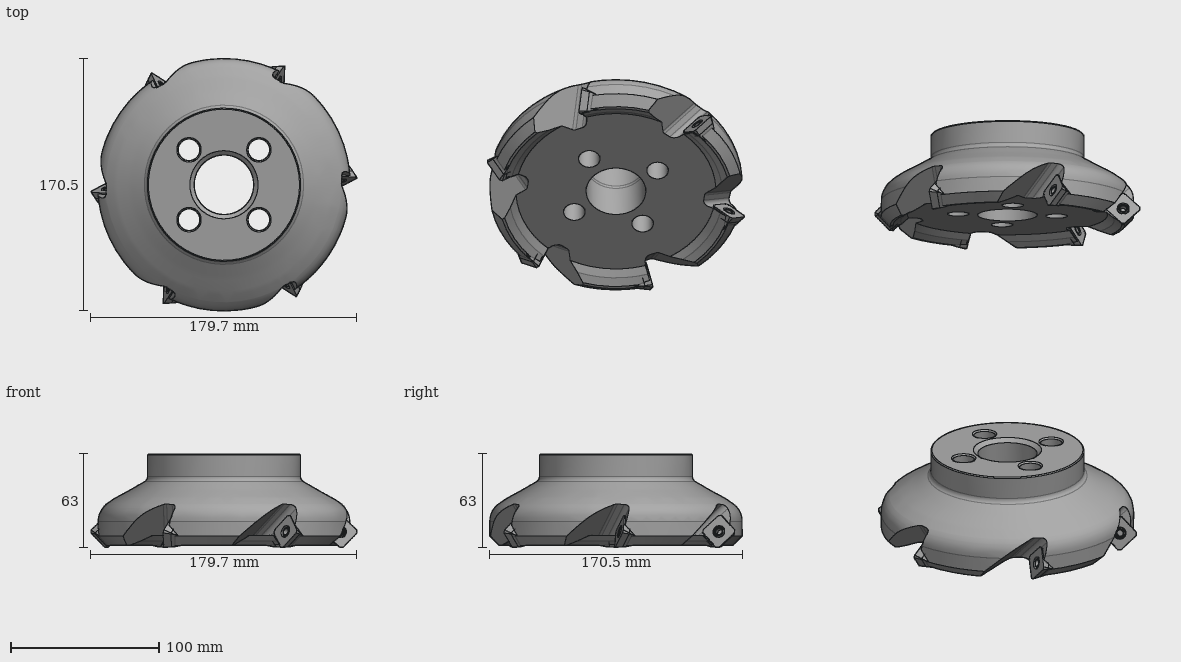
import cadquery as cq
import math

overall_height = 63.0
hub_radius = 103.5 / 2
hub_edge_chamfer = 0.75
hub_root_fillet = 4.0
rim_radius = 170.5 / 2
dome_radius = 15.0
dome_start_z = 17.55
cone_slope = 30.0
rim_bottom_z = 1.4
rim_chamfer = 6.2

recess_mouth_radius = 77.2
recess_step_radius = 72.1
recess_floor_radius = 67.5
recess_step_z = 4.35
recess_floor_z = 8.2

bore_diameter = 40.01
bore_relief_diameter = 40.3
bore_length = 24.5
bore_relief_taper = 2.4
bore_chamfer_width = 3.0
bore_chamfer_depth = 2.6
mount_hole_diameter = 14.5
mount_hole_chamfer = 1.0
mount_hole_count = 4
mount_circle_radius = 66.7 / 2

insert_count = 6
insert_width_over_flats = 22.6
wiper_length = 2.2
insert_thickness = 5.0
insert_clearance = 20.0
sink_diameter = 8.1
sink_depth = 2.0
head_base_diameter = 7.15
head_top_diameter = 5.7
head_top_depth = 0.4
socket_diameter = 4.5
socket_depth = 4.4
land_depth = 13.0

rake_azimuth = -78.3
rake_tilt = 16.6
rake_centre_x = 78.7
rake_centre_y = 2.4

gullet_wall_setback = 1.1
gullet_root_radius = 3.5
gullet_depth = 11.9
gullet_flat_length = 4.2
gullet_blend_radius = 4.1
gullet_floor_slope = 32.6
gullet_reach = 60.0
gullet_half_length = 50.0

azimuth = math.radians(rake_azimuth)
tilt = math.radians(rake_tilt)
rake_normal = cq.Vector(
    math.cos(tilt) * math.cos(azimuth), math.cos(tilt) * math.sin(azimuth), math.sin(tilt)
)
outward = cq.Vector(-math.sin(azimuth), math.cos(azimuth), 0)
upward = rake_normal.cross(outward)
rake_centre = cq.Vector(
    rake_centre_x, rake_centre_y, insert_width_over_flats / 2 * math.cos(tilt)
)
seat_plane = cq.Plane(origin=rake_centre, xDir=outward, normal=rake_normal * -1)
gullet_plane = cq.Plane(origin=rake_centre, xDir=rake_normal, normal=outward + upward)


def around_axis(shape):
    """Copies of a shape, one for each insert."""
    return [
        shape.rotate((0, 0, 0), (0, 0, 1), 360 / insert_count * i) for i in range(insert_count)
    ]


def insert_blank(depth):
    """Square with cut corners, tapering with the clearance angle behind the rake face."""
    reach = insert_width_over_flats / 2
    half_flat = wiper_length / 2
    outline = [
        (reach, -half_flat),
        (reach, half_flat),
        (half_flat, reach),
        (-half_flat, reach),
        (-reach, half_flat),
        (-reach, -half_flat),
        (-half_flat, -reach),
        (half_flat, -reach),
    ]
    return cq.Workplane(seat_plane).polyline(outline).close().extrude(depth, taper=insert_clearance)


def make_insert():
    """Insert with a sunk conical clamping head and its round driving socket."""
    sink = cq.Workplane(seat_plane).circle(sink_diameter / 2).extrude(sink_depth)
    head = cq.Solid.makeCone(
        head_top_diameter / 2,
        head_base_diameter / 2,
        sink_depth - head_top_depth,
        pnt=seat_plane.origin + seat_plane.zDir * head_top_depth,
        dir=seat_plane.zDir,
    )
    socket = cq.Workplane(seat_plane).circle(socket_diameter / 2).extrude(socket_depth)
    return insert_blank(insert_thickness).cut(sink.cut(cq.Workplane(head))).cut(socket)


def make_blank():
    """Turned blank: hub, cone, dome and chamfered rim, with the underside recess."""
    slope = math.radians(cone_slope)
    dome_centre_x = rim_radius - dome_radius
    half_turn = (math.pi / 2 - slope) / 2
    dome_mid = (
        dome_centre_x + dome_radius * math.cos(half_turn),
        dome_start_z + dome_radius * math.sin(half_turn),
    )
    dome_end = (
        dome_centre_x + dome_radius * math.sin(slope),
        dome_start_z + dome_radius * math.cos(slope),
    )
    cone_top_z = dome_end[1] + (dome_end[0] - hub_radius) * math.tan(slope)
    cone_direction = (-math.cos(slope), math.sin(slope))
    fillet_centre_x = hub_radius + hub_root_fillet
    fillet_top_z = cone_top_z + hub_root_fillet * math.tan(half_turn)
    fillet_mid = (
        fillet_centre_x - hub_root_fillet * math.cos(half_turn),
        fillet_top_z - hub_root_fillet * math.sin(half_turn),
    )
    fillet_end = (
        fillet_centre_x - hub_root_fillet * math.sin(slope),
        fillet_top_z - hub_root_fillet * math.cos(slope),
    )
    cone_mid = ((dome_end[0] + fillet_end[0]) / 2, (dome_end[1] + fillet_end[1]) / 2)
    return (
        cq.Workplane("XZ")
        .moveTo(0, recess_floor_z)
        .lineTo(recess_floor_radius, recess_floor_z)
        .lineTo(recess_step_radius, recess_step_z)
        .lineTo(recess_mouth_radius, rim_bottom_z)
        .lineTo(rim_radius - rim_chamfer, rim_bottom_z)
        .lineTo(rim_radius, rim_bottom_z + rim_chamfer)
        .lineTo(rim_radius, dome_start_z)
        .spline(
            [dome_mid, dome_end, cone_mid, fillet_end],
            tangents=[(0, 1), cone_direction],
            includeCurrent=True,
        )
        .threePointArc(fillet_mid, (hub_radius, fillet_top_z))
        .lineTo(hub_radius, overall_height - hub_edge_chamfer)
        .lineTo(hub_radius - hub_edge_chamfer, overall_height)
        .lineTo(0, overall_height)
        .close()
        .revolve(360, (0, 0, 0), (0, 1, 0))
    )


def make_gullet():
    """Wedge-shaped chip space in front of the rake face, with a rounded root."""
    wall = -gullet_wall_setback
    root_end = wall + gullet_root_radius
    flat_end = root_end + gullet_flat_length
    slope = math.radians(gullet_floor_slope)
    blend_mid = (
        flat_end + gullet_blend_radius * math.sin(slope / 2),
        gullet_blend_radius * (1 - math.cos(slope / 2)) - gullet_depth,
    )
    blend_end = (
        flat_end + gullet_blend_radius * math.sin(slope),
        gullet_blend_radius * (1 - math.cos(slope)) - gullet_depth,
    )
    floor_end = blend_end[1] + (gullet_reach - blend_end[0]) * math.tan(slope)
    corner_cut = gullet_root_radius * (1 - math.sqrt(0.5))
    return (
        cq.Workplane(gullet_plane)
        .moveTo(wall, gullet_reach)
        .lineTo(wall, gullet_root_radius - gullet_depth)
        .threePointArc((wall + corner_cut, corner_cut - gullet_depth), (root_end, -gullet_depth))
        .lineTo(flat_end, -gullet_depth)
        .threePointArc(blend_mid, blend_end)
        .lineTo(gullet_reach, floor_end)
        .lineTo(gullet_reach, gullet_reach)
        .close()
        .extrude(gullet_half_length, both=True)
    )


def make_bore():
    """Central bore: lead-in chamfer, locating length and slightly wider relief."""
    bore_radius = bore_diameter / 2
    relief_radius = bore_relief_diameter / 2
    bore_end_z = overall_height - bore_length
    return (
        cq.Workplane("XZ")
        .polyline(
            [
                (0, 0),
                (relief_radius, 0),
                (relief_radius, bore_end_z - bore_relief_taper),
                (bore_radius, bore_end_z),
                (bore_radius, overall_height - bore_chamfer_depth),
                (bore_radius + bore_chamfer_width, overall_height),
                (0, overall_height),
            ]
        )
        .close()
        .revolve(360, (0, 0, 0), (0, 1, 0))
    )


def make_mount_holes():
    """Through holes on a circle, chamfered at the hub face."""
    radius = mount_hole_diameter / 2
    positions = cq.Workplane("XY", origin=(0, 0, overall_height)).polarArray(
        mount_circle_radius, 180 / mount_hole_count, 360, mount_hole_count
    )
    chamfer = cq.Solid.makeCone(
        radius + mount_hole_chamfer, radius, mount_hole_chamfer, dir=cq.Vector(0, 0, -1)
    )
    holes = positions.circle(radius).extrude(-overall_height)
    return holes.union(positions.eachpoint(lambda place: chamfer.moved(place)))


def make_body():
    body = make_blank()
    for gullet in around_axis(make_gullet()):
        body = body.cut(gullet)
    for land in around_axis(insert_blank(land_depth)):
        body = body.union(land)
    for seat in around_axis(insert_blank(insert_thickness)):
        body = body.cut(seat)
    return body.cut(make_bore()).cut(make_mount_holes())


body = make_body()
inserts = around_axis(make_insert())

result = cq.Compound.makeCompound([body.val(), *[insert.val() for insert in inserts]])